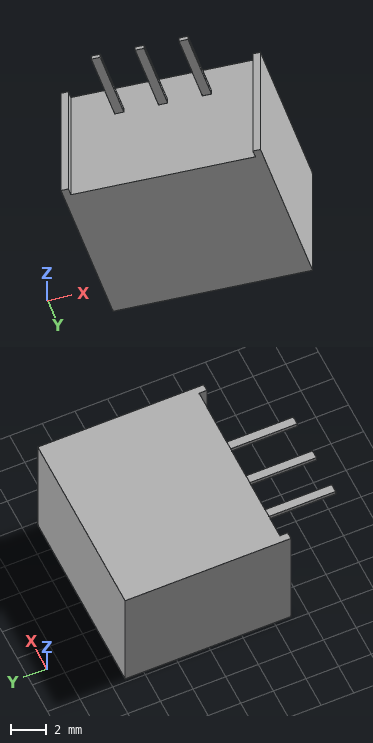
import cadquery as cq

total_length = 14.3
housing_width = 11.6
housing_height = 7.5

lip_projection = 0.49
lip_thickness = 0.45

pin_count = 3
pin_pitch = 2.55
pin_width = 0.53
pin_thickness = 0.26
pin_reach = 4.12
pin_depth_below_top = 1.85

lip_end_y = pin_reach
recess_y = lip_end_y + lip_projection
housing_length = total_length - pin_reach
recess_width = housing_width - 2 * lip_thickness
pin_z = housing_height - pin_depth_below_top


def block(width, length, height, front_y):
    """Box centred on X, running back from front_y and up from Z = 0."""
    return (
        cq.Workplane("XY")
        .box(width, length, height, centered=(True, False, False))
        .translate((0, front_y, 0))
    )


def make_housing():
    body = block(housing_width, housing_length, housing_height, lip_end_y)
    recess = block(recess_width, lip_projection, housing_height, lip_end_y)
    return body.cut(recess)


def make_pin(x):
    """Straight pin centred at x, butting against the recessed face."""
    pin = block(pin_width, recess_y, pin_thickness, 0)
    return pin.translate((x, 0, pin_z - pin_thickness / 2))


housing = make_housing()

pins = []
for index in range(pin_count):
    pin_x = (index - (pin_count - 1) / 2) * pin_pitch
    pins.append(make_pin(pin_x).val())

result = cq.Compound.makeCompound([housing.val(), *pins])